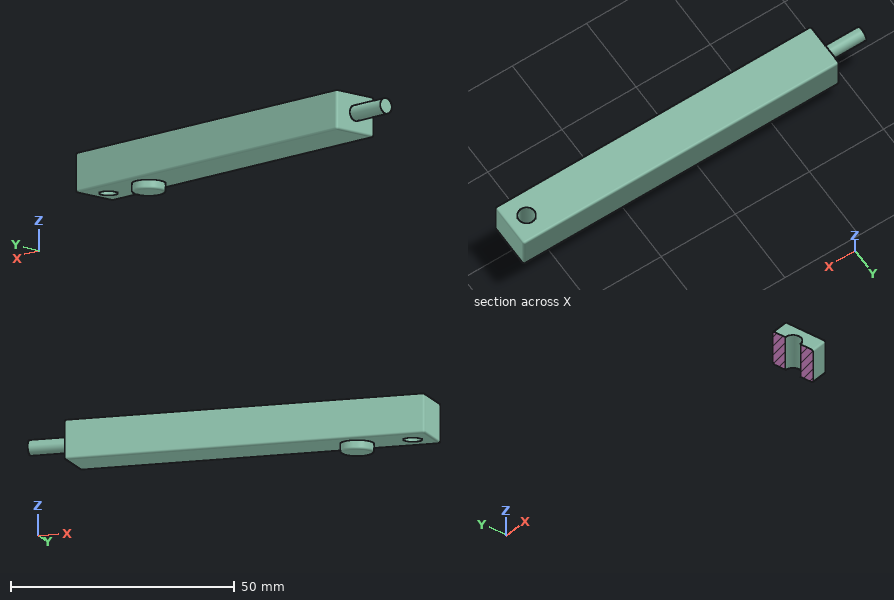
import cadquery as cq

body_length = 85.3
body_width = 11.6
body_height = 9.2
body_edge_radius = 0.6

overall_length = 95.2
cable_length = overall_length - body_length
cable_diameter = 3.6

boss_diameter = 7.6
boss_height = 2.1
boss_edge_radius = 0.6
boss_from_end = 17.9

hole_diameter = 4.2
hole_from_end = 4.8


def make_body():
    """Block with all edges rounded; its -X end lies on X = 0."""
    block = cq.Workplane("XY").box(body_length, body_width, body_height, centered=(False, True, False))
    return block.edges().fillet(body_edge_radius)


def make_cable():
    """Cylinder leaving the centre of the -X end."""
    end_plane = cq.Workplane("YZ").center(0, body_height / 2)
    return end_plane.circle(cable_diameter / 2).extrude(-cable_length)


def make_boss():
    """Disc below the body with a rounded lower rim."""
    underside = cq.Workplane("XY").center(body_length - boss_from_end, 0)
    disc = underside.circle(boss_diameter / 2).extrude(-boss_height)
    return disc.faces("<Z").edges().fillet(boss_edge_radius)


def make_hole():
    """Cutter for the through hole."""
    underside = cq.Workplane("XY").center(body_length - hole_from_end, 0)
    return underside.circle(hole_diameter / 2).extrude(body_height)


result = make_body().union(make_cable()).union(make_boss()).cut(make_hole())